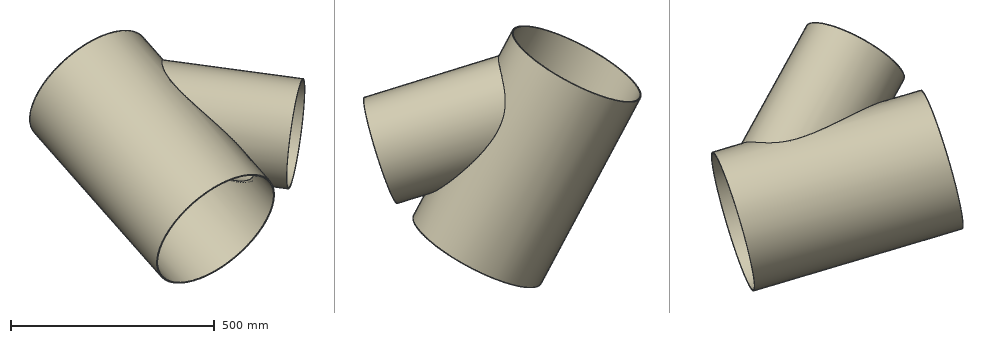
import cadquery as cq
import math

run_length = 536.0
run_outer_diameter = 355.5
wall = 3.0
branch_outer_diameter = 273.0
branch_angle = 45.0
overall_depth = 601.5
branch_origin_x = -178.5
branch_start = 30.0

run_inner_diameter = run_outer_diameter - 2 * wall
branch_inner_diameter = branch_outer_diameter - 2 * wall

angle = math.radians(branch_angle)
mouth_edge_rise = branch_outer_diameter / 2 * math.cos(angle)
mouth_center_y = overall_depth - run_outer_diameter / 2 - mouth_edge_rise
branch_end = mouth_center_y / math.sin(angle)


def run_cylinder(diameter):
    """Solid cylinder along X, centred on the origin."""
    return cq.Workplane("YZ").circle(diameter / 2).extrude(run_length / 2, both=True)


def branch_cylinder(diameter):
    """Solid cylinder along the branch axis, from inside the run to the branch mouth."""
    branch_plane = cq.Plane(
        origin=(branch_origin_x, 0, 0),
        xDir=(0, 0, 1),
        normal=(math.cos(angle), math.sin(angle), 0),
    )
    profile = cq.Workplane(branch_plane).workplane(offset=branch_start).circle(diameter / 2)
    return profile.extrude(branch_end - branch_start)


outer_body = run_cylinder(run_outer_diameter).union(branch_cylinder(branch_outer_diameter))
run_bore = run_cylinder(run_inner_diameter)
branch_bore = branch_cylinder(branch_inner_diameter)
result = outer_body.cut(run_bore).cut(branch_bore)